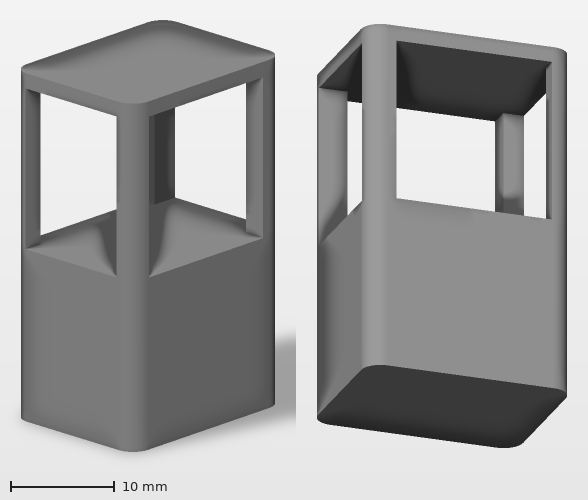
import cadquery as cq

width = 16.1
depth = 21.0
height = 35.5
corner_radius = 2.0

base_height = 17.55
roof_thickness = 1.55
bay_height = height - base_height - roof_thickness

post_left = 1.75
post_right = 2.27
post_front = 2.13
post_back = 2.9


def rounded_body():
    """Block standing on Z = 0 with rounded vertical corners."""
    block = cq.Workplane("XY").box(width, depth, height, centered=(True, True, False))
    return block.edges("|Z").fillet(corner_radius)


def bay_cutter(size_x, size_y, center_x, center_y):
    """Box as tall as the open bay, resting on top of the base."""
    box = cq.Workplane("XY").box(size_x, size_y, bay_height, centered=(True, True, False))
    return box.translate((center_x, center_y, base_height))


opening_x = width - post_left - post_right
opening_y = depth - post_front - post_back
opening_center_x = (post_left - post_right) / 2
opening_center_y = (post_front - post_back) / 2

front_passage = bay_cutter(opening_x, depth, opening_center_x, 0)
side_passage = bay_cutter(width, opening_y, 0, opening_center_y)

result = rounded_body().cut(front_passage).cut(side_passage)